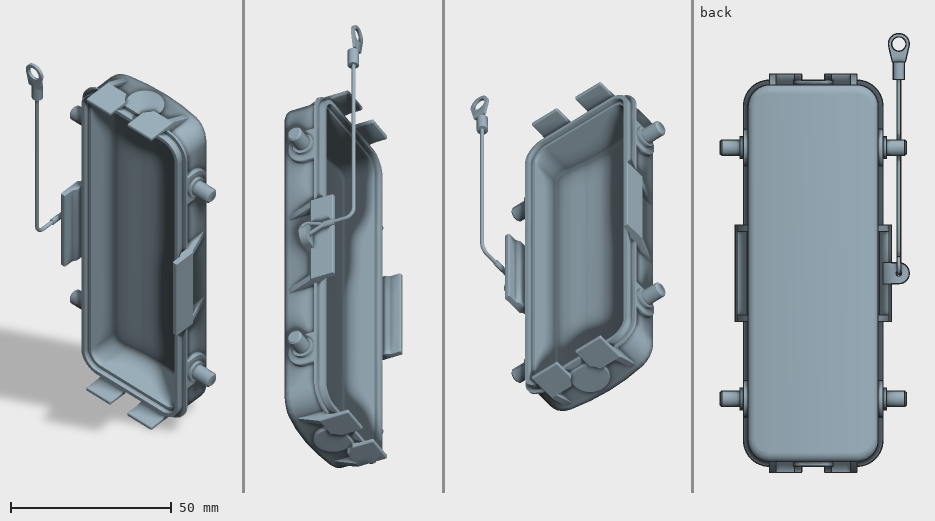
import cadquery as cq
import math


flange_half_width = 21.7
flange_half_length = 60.0
flange_corner_radius = 8.2
flange_thickness = 0.7
flange_root_radius = 1.4
wall_inset = 1.5
seat_inset = 2.9
cavity_inset = 4.1
lip_height = 2.2
seat_depth = 1.6
back_y = 15.0
back_radius = 70.9
back_edge_radius = 2.7
arch_margin = 1.4
back_thickness = 2.6
cavity_edge_radius = 1.0
wall_half_width = flange_half_width - wall_inset
wall_half_length = flange_half_length - wall_inset

pin_spacing = 78.0
pin_y = 4.1
pin_radius = 2.5
pin_tip_x = 28.9
pin_chamfer = 0.5
collar_radius = 3.4
collar_end_x = 22.8
pad_radius = 5.7
pad_edge_radius = 0.4
pad_root_x = wall_half_width - 1.4

latch_tip_y = -7.2
latch_edge_radius = 0.4
latch_foot = 0.7
gusset_thickness = 2.0
side_latch_half_length = 15.0
side_latch_outer = 24.3
side_latch_inner = 22.5
side_latch_back_y = 1.1
side_latch_bevel = 0.7
side_step_y = -2.5
side_step_length = 1.4
side_gusset_y = 10.1
end_tab_inside_x = 3.5
end_tab_outside_x = 13.6
end_tab_outer = 61.9
end_tab_inner = 60.5
end_tab_back_y = 2.7
end_step_y = -2.7
end_blend_radius = 8.2
end_gusset_y = 10.5
boss_radius = 6.1
boss_y = 4.9

tether_x = -26.6
lug_radius = 3.3
lug_front_y = -0.5
lug_back_y = 1.9
lug_hole_radius = 0.8
wire_radius = 0.61
loop_radius = 2.2
loop_y = 0.8
tether_z = 2.5
crimp_start_y = -5.3
crimp_end_y = -8.7
crimp_half_width = 0.8
crimp_half_height = 1.1
cable_radius = 0.61
cable_y = -15.5
bend_radius = 3.0
sleeve_radius = 1.8
sleeve_bottom_z = 60.1
sleeve_top_z = 65.6
eye_z = 71.2
eye_radius = 3.3
eye_hole_radius = 2.2
tongue_front_y = -17.2
tongue_thickness = 1.0
tongue_root_half_width = 2.0


def rounded_block(inset, front_y, rear_y):
    """Block following the flange outline moved inwards by inset."""
    return (
        cq.Workplane("XZ", origin=(0, front_y, 0))
        .rect(2 * (flange_half_width - inset), 2 * (flange_half_length - inset))
        .extrude(front_y - rear_y)
        .edges("|Y")
        .fillet(flange_corner_radius - inset)
    )


def arched_block(inset, front_y, crown_y, edge_radius):
    """Rounded block whose back is an arch about a Z axis with rounded edges."""
    arch_radius = back_radius - (back_y - crown_y)
    arch = (
        cq.Workplane("XY")
        .center(0, crown_y - arch_radius)
        .circle(arch_radius)
        .extrude(2 * flange_half_length, both=True)
    )
    block = rounded_block(inset, front_y, crown_y + arch_margin).intersect(arch)
    return block.faces(">Y").edges().fillet(edge_radius)


def make_shell():
    body = arched_block(wall_inset, -lip_height, back_y, back_edge_radius)
    body = body.union(rounded_block(0, 0, flange_thickness))
    reach = 0.1
    flange_root = cq.selectors.BoxSelector(
        (-wall_half_width - reach, flange_thickness - reach, -wall_half_length - reach),
        (wall_half_width + reach, flange_thickness + reach, wall_half_length + reach),
        boundingbox=True,
    )
    return body.edges(flange_root).fillet(flange_root_radius)


def make_cavity():
    seat = rounded_block(seat_inset, -lip_height, seat_depth - lip_height)
    pocket = arched_block(cavity_inset, -lip_height, back_y - back_thickness, cavity_edge_radius)
    return seat.union(pocket)


def behind_flange_face(solid):
    """Part of a solid that lies behind the front face of the flange."""
    size = 4 * flange_half_length
    return solid.intersect(cq.Workplane("XY").box(size, size, size).translate((0, size / 2, 0)))


def make_pin(z):
    """Pin on the +X side with its collar and the D-shaped pad carrying it."""
    base = cq.Workplane("YZ", origin=(pad_root_x, pin_y, z))
    pad = (
        base.moveTo(-pin_y - pad_edge_radius, pad_radius)
        .lineTo(0, pad_radius)
        .threePointArc((pad_radius, 0), (0, -pad_radius))
        .lineTo(-pin_y - pad_edge_radius, -pad_radius)
        .close()
        .extrude(flange_half_width - pad_root_x)
        .faces(">X")
        .edges()
        .fillet(pad_edge_radius)
    )
    collar = base.circle(collar_radius).extrude(collar_end_x - pad_root_x)
    pin = base.circle(pin_radius).extrude(pin_tip_x - pad_root_x).faces(">X").chamfer(pin_chamfer)
    return behind_flange_face(pad).union(collar).union(pin)


def make_side_latch():
    """Latch plate on the +X side with a gusset at each end."""
    plate_profile = [
        (wall_half_width, 0),
        (flange_half_width, 0),
        (flange_half_width, side_step_y),
        (side_latch_inner, side_step_y - side_step_length),
        (side_latch_inner, latch_tip_y),
        (side_latch_outer, latch_tip_y),
        (side_latch_outer, side_latch_back_y - side_latch_bevel),
        (side_latch_outer - side_latch_bevel, side_latch_back_y),
        (wall_half_width, side_latch_back_y),
    ]
    gusset_profile = [
        (wall_half_width - latch_foot, 0),
        (wall_half_width - latch_foot, side_gusset_y),
        (wall_half_width, side_gusset_y),
        (side_latch_outer - side_latch_bevel, side_latch_back_y),
        (flange_half_width, 0),
    ]
    bottom = cq.Workplane("XY", origin=(0, 0, -side_latch_half_length))
    latch = bottom.polyline(plate_profile).close().extrude(2 * side_latch_half_length)
    gusset = bottom.polyline(gusset_profile).close().extrude(gusset_thickness)
    latch = latch.faces("<Y").edges("|Z").fillet(latch_edge_radius)
    return latch.union(gusset).union(gusset.mirror("XY"))


def make_end_tab():
    """Tab on the +X half of the +Z end, with one gusset on its outside edge."""
    tab_profile = [
        (0, wall_half_length),
        (0, flange_half_length),
        (end_step_y, end_tab_inner),
        (latch_tip_y, end_tab_inner),
        (latch_tip_y, end_tab_outer),
        (end_tab_back_y, end_tab_outer),
        (end_tab_back_y, wall_half_length),
    ]
    gusset_profile = [
        (0, wall_half_length - latch_foot),
        (0, flange_half_length),
        (end_tab_back_y, end_tab_outer),
        (end_gusset_y, wall_half_length),
        (end_gusset_y, wall_half_length - latch_foot),
    ]
    tab = (
        cq.Workplane("YZ", origin=(end_tab_inside_x, 0, 0))
        .polyline(tab_profile)
        .close()
        .extrude(end_tab_outside_x - end_tab_inside_x)
    )
    gusset = (
        cq.Workplane("YZ", origin=(end_tab_outside_x, 0, 0))
        .polyline(gusset_profile)
        .close()
        .extrude(-gusset_thickness)
    )
    tab_middle_x = (end_tab_inside_x + end_tab_outside_x) / 2
    underside_bend = cq.NearestToPointSelector((tab_middle_x, end_step_y, end_tab_inner))
    tab = tab.edges(underside_bend).fillet(end_blend_radius).union(gusset)
    tab = tab.faces("<Y").edges("|X").fillet(latch_edge_radius)
    return tab.faces(">Z").edges("|Y").fillet(latch_edge_radius)


def make_end_latch():
    """Pair of tabs and the round boss between them on the +Z end."""
    tab = make_end_tab()
    boss_plane = cq.Workplane("XY", origin=(0, boss_y, flange_half_length))
    clearance = boss_plane.circle(boss_radius).extrude(2 * (end_tab_outer - flange_half_length))
    boss = (
        boss_plane.circle(boss_radius)
        .extrude(-2 * wall_inset)
        .faces(">Z")
        .edges()
        .fillet(pad_edge_radius)
    )
    boss = behind_flange_face(boss)
    return tab.union(tab.mirror("YZ")).cut(clearance).union(boss)


def make_lug():
    """Eyelet standing out from the latch on the -X side."""
    depth = lug_back_y - lug_front_y
    base = cq.Workplane("XZ", origin=(0, lug_back_y, 0))
    root_length = -flange_half_width - tether_x
    root = (
        base.center(tether_x + root_length / 2, 0)
        .rect(root_length, 2 * lug_radius)
        .extrude(depth)
    )
    eye = base.center(tether_x, 0).circle(lug_radius).extrude(depth)
    hole = base.center(tether_x, 0).circle(lug_hole_radius).extrude(depth)
    return eye.union(root).cut(hole)


def make_wire_loop():
    """Teardrop loop: an arc around the lug with two legs running tangent into the crimp."""
    distance = loop_y - crimp_start_y
    leg_angle = math.acos(loop_radius / distance)
    touch_y = loop_y - loop_radius * math.cos(leg_angle)
    touch_z = loop_radius * math.sin(leg_angle)
    path = (
        cq.Workplane("YZ", origin=(tether_x, 0, 0))
        .moveTo(crimp_start_y, tether_z)
        .lineTo(touch_y, tether_z + touch_z)
        .threePointArc((loop_y + loop_radius, tether_z), (touch_y, tether_z - touch_z))
        .lineTo(crimp_start_y, tether_z)
    )
    leg_direction = (0, touch_y - crimp_start_y, touch_z)
    start = cq.Plane(
        origin=(tether_x, crimp_start_y, tether_z), xDir=(1, 0, 0), normal=leg_direction
    )
    return cq.Workplane(start).circle(wire_radius).sweep(path)


def make_cable():
    """Crimp and cable, running forward from the loop and then up to the sleeve."""
    crimp = (
        cq.Workplane("XZ", origin=(tether_x, crimp_start_y, tether_z))
        .ellipse(crimp_half_width, crimp_half_height)
        .extrude(crimp_start_y - crimp_end_y)
    )
    bend_y = cable_y + bend_radius
    bend_z = tether_z + bend_radius
    bend_mid = bend_radius * math.sqrt(0.5)
    path = (
        cq.Workplane("YZ", origin=(tether_x, 0, 0))
        .moveTo(crimp_start_y, tether_z)
        .lineTo(bend_y, tether_z)
        .threePointArc((bend_y - bend_mid, bend_z - bend_mid), (cable_y, bend_z))
        .lineTo(cable_y, sleeve_bottom_z + sleeve_radius)
    )
    cable = (
        cq.Workplane("XZ", origin=(tether_x, crimp_start_y, tether_z))
        .circle(cable_radius)
        .sweep(path)
    )
    return crimp.union(cable)


def make_terminal():
    """Ring terminal: sleeve around the cable end and a flat tongue with an eye."""
    sleeve = (
        cq.Workplane("XY", origin=(tether_x, tongue_front_y + sleeve_radius, sleeve_bottom_z))
        .circle(sleeve_radius)
        .extrude(sleeve_top_z - sleeve_bottom_z)
    )
    base = cq.Workplane("XZ", origin=(tether_x, tongue_front_y, eye_z))
    root_z = sleeve_top_z - eye_z
    shoulder_angle = math.radians(-15)
    shoulder_x = eye_radius * math.cos(shoulder_angle)
    shoulder_z = eye_radius * math.sin(shoulder_angle)
    tongue = (
        base.moveTo(-tongue_root_half_width, root_z)
        .lineTo(tongue_root_half_width, root_z)
        .lineTo(shoulder_x, shoulder_z)
        .threePointArc((0, eye_radius), (-shoulder_x, shoulder_z))
        .close()
        .extrude(-tongue_thickness)
    )
    hole = base.circle(eye_hole_radius).extrude(-tongue_thickness)
    return sleeve.union(tongue.cut(hole))


cover = make_shell()
for pin_z in (-pin_spacing / 2, pin_spacing / 2):
    pin = make_pin(pin_z)
    cover = cover.union(pin).union(pin.mirror("YZ"))

side_latch = make_side_latch()
end_latch = make_end_latch()
cover = cover.union(side_latch).union(side_latch.mirror("YZ"))
cover = cover.union(end_latch).union(end_latch.mirror("XY"))
cover = cover.cut(make_cavity())

for tether_part in (make_lug(), make_wire_loop(), make_cable(), make_terminal()):
    cover = cover.union(tether_part)

result = cover